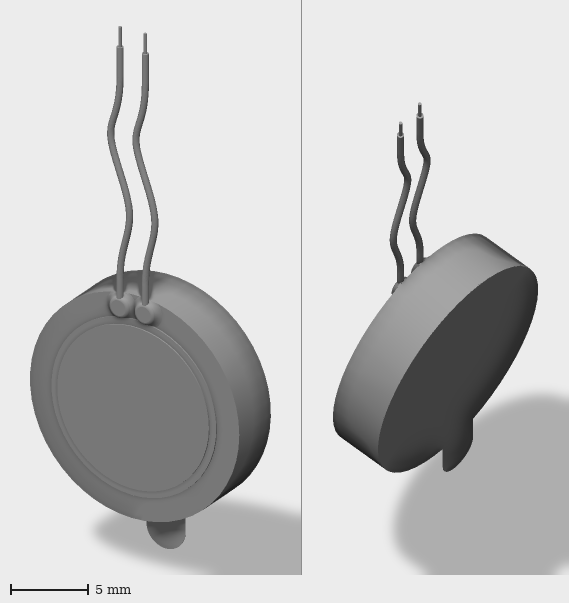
import cadquery as cq

housing_radius = 8.0
total_depth = 4.3
total_height = 38.63
front_depth = 3.82

raised_base_radius = 6.3
raised_top_radius = 5.8
step_height = 0.095

sheet_thickness = 0.05
tab_width = 2.97
tab_tip_z = -11.63

joint_offset_x = 0.95
joint_z = 7.0
joint_base_radius = 1.3
joint_rim_radius = 0.77
joint_top_radius = 0.45
joint_height = total_depth - front_depth
joint_rim_height = 0.6 * joint_height
flare_fraction = 0.3
crown_fraction = 0.7

wire_radius = joint_height / 2
core_radius = 0.1
wire_depth = front_depth + wire_radius
wire_end_inset = 0.1
wire_start_z = joint_z + joint_rim_radius - wire_end_inset
bend_start_z = 9.05
lower_bend_z = 13.9
upper_bend_z = 19.12
bend_end_z = 23.5
sleeve_end_z = 25.57
core_end_z = tab_tip_z + total_height
bend_offset = 0.715


def disc(radius, start_depth, depth):
    """Cylinder along -Y that starts at the given depth."""
    return cq.Workplane("XZ", origin=(0, -start_depth, 0)).circle(radius).extrude(depth)


def make_sheet():
    """Thin round backing with a round-ended tab below it."""
    tip_center_z = tab_tip_z + tab_width / 2
    tab = (
        cq.Workplane("XZ")
        .moveTo(-tab_width / 2, 0)
        .lineTo(-tab_width / 2, tip_center_z)
        .threePointArc((0, tab_tip_z), (tab_width / 2, tip_center_z))
        .lineTo(tab_width / 2, 0)
        .close()
        .extrude(sheet_thickness)
    )
    return disc(housing_radius, 0, sheet_thickness).union(tab)


def make_housing():
    """Round housing with two low round steps on its front."""
    return (
        cq.Workplane("XY")
        .moveTo(0, -sheet_thickness)
        .lineTo(housing_radius, -sheet_thickness)
        .lineTo(housing_radius, -front_depth)
        .lineTo(raised_base_radius, -front_depth)
        .lineTo(raised_base_radius, -front_depth - step_height)
        .lineTo(raised_top_radius, -front_depth - step_height)
        .lineTo(raised_top_radius, -front_depth - 2 * step_height)
        .lineTo(0, -front_depth - 2 * step_height)
        .close()
        .revolve(360, (0, 0, 0), (0, 1, 0))
    )


def make_wire(x):
    """Insulated wire with an S bend and a bare core at its upper end."""
    def cylinder(radius, start_z, end_z):
        base = cq.Workplane("XY", origin=(x, -wire_depth, start_z))
        return base.circle(radius).extrude(end_z - start_z)

    bend_points = [
        (x, bend_start_z),
        (x + bend_offset, lower_bend_z),
        (x - bend_offset, upper_bend_z),
        (x, bend_end_z),
    ]
    path = cq.Workplane("XZ", origin=(0, -wire_depth, 0)).spline(bend_points, tangents=[(0, 1), (0, 1)])
    bend = cq.Workplane("XY", origin=(x, -wire_depth, bend_start_z)).circle(wire_radius).sweep(path)
    lower_end = cylinder(wire_radius, wire_start_z, bend_start_z)
    upper_end = cylinder(wire_radius, bend_end_z, sleeve_end_z)
    core = cylinder(core_radius, sleeve_end_z, core_end_z)
    return lower_end.union(bend).union(upper_end).union(core)


def make_joint(side, wire):
    """Flared solder joint, trimmed to its half of the housing rim and recessed for the wire."""
    flare_middle = (
        joint_rim_radius + flare_fraction * (joint_base_radius - joint_rim_radius),
        -flare_fraction * joint_rim_height,
    )
    crown_middle = (
        joint_top_radius + crown_fraction * (joint_rim_radius - joint_top_radius),
        -joint_rim_height - crown_fraction * (joint_height - joint_rim_height),
    )
    joint = (
        cq.Workplane("XY")
        .lineTo(joint_base_radius, 0)
        .threePointArc(flare_middle, (joint_rim_radius, -joint_rim_height))
        .threePointArc(crown_middle, (joint_top_radius, -joint_height))
        .lineTo(0, -joint_height)
        .close()
        .revolve(360, (0, 0, 0), (0, 1, 0))
        .translate((side * joint_offset_x, -front_depth, joint_z))
    )
    rim = disc(housing_radius, front_depth, joint_height)
    raised_center = disc(raised_base_radius, front_depth, joint_height)
    half_space = cq.Workplane("XY").box(housing_radius, 2 * total_depth, 2 * housing_radius)
    half_space = half_space.translate((side * housing_radius / 2, -total_depth, 0))
    return joint.intersect(rim).intersect(half_space).cut(raised_center).cut(wire)


bodies = [make_housing().val(), *make_sheet().solids().vals()]
for side in (-1, 1):
    wire = make_wire(side * joint_offset_x)
    joint = make_joint(side, wire)
    bodies.extend([*wire.solids().vals(), *joint.solids().vals()])

result = cq.Compound.makeCompound(bodies)